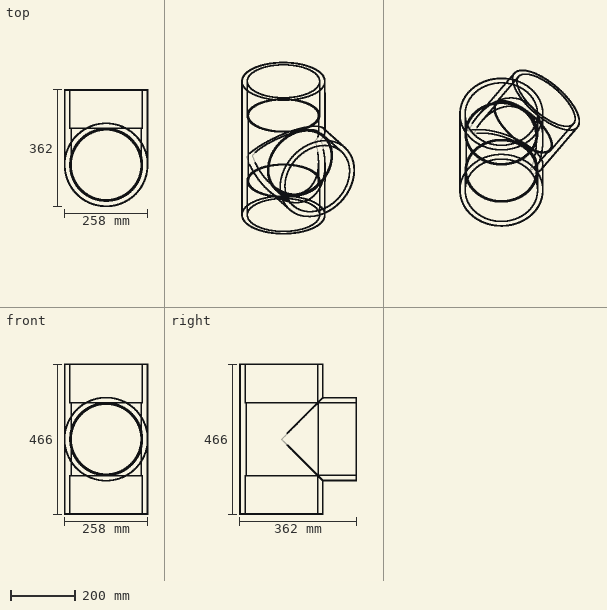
import cadquery as cq

run_length = 466.0
outer_diameter = 258.0
bore_diameter = 218.0
socket_diameter = 225.0
socket_depth = 119.5
arm_length = run_length / 2

UP = (0, 0, 1)
DOWN = (0, 0, -1)
BACK = (0, 1, 0)
ARM_DIRECTIONS = (UP, DOWN, BACK)


def arm_cylinder(direction, diameter, start, end):
    """Cylinder along an arm, between two distances from the axis crossing."""
    axis = cq.Vector(*direction)
    solid = cq.Solid.makeCylinder(diameter / 2, end - start, axis * start, axis)
    return cq.Workplane(obj=solid)


def tee(diameter):
    """Full-length run joined to the branch, both of the same diameter."""
    run = arm_cylinder(UP, diameter, -arm_length, arm_length)
    branch = arm_cylinder(BACK, diameter, 0, arm_length)
    return run.union(branch)


result = tee(outer_diameter).cut(tee(bore_diameter))

for direction in ARM_DIRECTIONS:
    socket = arm_cylinder(direction, socket_diameter, arm_length - socket_depth, arm_length)
    result = result.cut(socket)